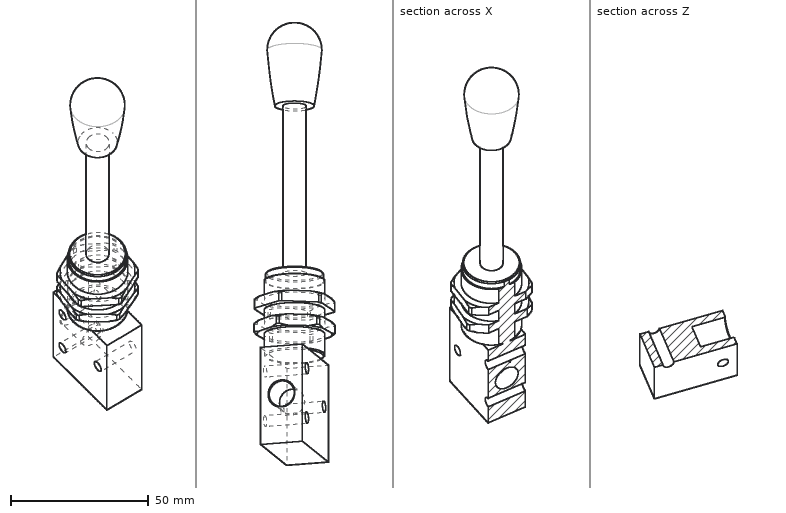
import cadquery as cq
import math

total_height = 161.5
block_length = 32.0
block_depth = 16.0
block_height = 36.5

mount_hole_diameter = 4.0
mount_hole_x = 10.5
left_hole_z = 19.5
left_hole_spacing = 18.5

port_diameter = 9.5
port_mouth_diameter = 10.2
port_depth = 12.9
port_z = 18.5

collar_diameter = 22.1
collar_top_z = 64.7
collar_bottom_chamfer = 0.5
cap_diameter = 21.1
cap_top_z = 67.6
cap_chamfer = 0.5
rod_diameter = 8.4

nut_across_flats = 26.2
nut_corner_diameter = 29.5
nut_chamfer_width = 1.1
nut_chamfer_angle = 30.0
lower_nut_z = 44.7
lower_nut_height = 4.2
lower_nut_turn = -7.0
upper_nut_z = 53.8
upper_nut_height = 4.0
upper_nut_turn = -3.5

knob_diameter = 20.0
knob_base_diameter = 14.4
knob_base_z = 130.5
knob_side_bulge = 0.3


def cylinder(diameter, bottom_z, top_z):
    return cq.Workplane("XY").workplane(offset=bottom_z).circle(diameter / 2).extrude(top_z - bottom_z)


def make_block():
    block = cq.Workplane("XY").box(block_length, block_depth, block_height, centered=(True, True, False))
    hole_places = [
        (-mount_hole_x, left_hole_z - left_hole_spacing / 2),
        (-mount_hole_x, left_hole_z + left_hole_spacing / 2),
        (mount_hole_x, left_hole_z),
    ]
    mount_holes = (
        cq.Workplane("XZ")
        .pushPoints(hole_places)
        .circle(mount_hole_diameter / 2)
        .extrude(block_depth, both=True)
    )
    return block.cut(mount_holes).cut(make_port())


def make_port():
    """Blind bore from the -X face with a 45 degree chamfer at its mouth."""
    bore_radius = port_diameter / 2
    mouth_radius = port_mouth_diameter / 2
    face_x = -block_length / 2
    chamfer_end_x = face_x + mouth_radius - bore_radius
    floor_x = face_x + port_depth
    profile = [
        (face_x, 0),
        (face_x, mouth_radius),
        (chamfer_end_x, bore_radius),
        (floor_x, bore_radius),
        (floor_x, 0),
    ]
    port = cq.Workplane("XZ").polyline(profile).close().revolve(360, (0, 0), (1, 0))
    return port.translate((0, 0, port_z))


def make_collar():
    collar = cylinder(collar_diameter, block_height, collar_top_z)
    collar = collar.faces("<Z").edges().chamfer(collar_bottom_chamfer)
    cap = cylinder(cap_diameter, collar_top_z, cap_top_z).faces(">Z").edges().chamfer(cap_chamfer)
    return collar.union(cap)


def make_nut(bottom_z, height, turn, chamfer_bottom):
    """Hexagon with two corners near the X axis, its corners cut back by a chamfered disc."""
    sharp_corner_diameter = nut_across_flats / math.cos(math.radians(30))
    hexagon = cq.Workplane("XY").polygon(6, sharp_corner_diameter).extrude(height)
    chamfer_height = nut_chamfer_width * math.tan(math.radians(nut_chamfer_angle))
    disc = cylinder(nut_corner_diameter, 0, height)
    disc = disc.faces(">Z").chamfer(chamfer_height, nut_chamfer_width)
    if chamfer_bottom:
        disc = disc.faces("<Z").chamfer(chamfer_height, nut_chamfer_width)
    nut = hexagon.intersect(disc)
    return nut.rotate((0, 0, 0), (0, 0, 1), turn).translate((0, 0, bottom_z))


def make_knob():
    """Hemispherical dome on a tapered grip whose side bulges slightly."""
    knob_radius = knob_diameter / 2
    base_radius = knob_base_diameter / 2
    dome_base_z = total_height - knob_radius
    side_middle = ((knob_radius + base_radius) / 2 + knob_side_bulge, (knob_base_z + dome_base_z) / 2)
    dome_middle = knob_radius * math.sin(math.radians(45))
    return (
        cq.Workplane("XZ")
        .moveTo(0, knob_base_z)
        .lineTo(base_radius, knob_base_z)
        .threePointArc(side_middle, (knob_radius, dome_base_z))
        .threePointArc((dome_middle, dome_base_z + dome_middle), (0, total_height))
        .close()
        .revolve(360, (0, 0), (0, 1))
    )


lower_nut = make_nut(lower_nut_z, lower_nut_height, lower_nut_turn, chamfer_bottom=True)
upper_nut = make_nut(upper_nut_z, upper_nut_height, upper_nut_turn, chamfer_bottom=False)
rod = cylinder(rod_diameter, cap_top_z, knob_base_z)

result = make_block()
for piece in (make_collar(), lower_nut, upper_nut, rod, make_knob()):
    result = result.union(piece)